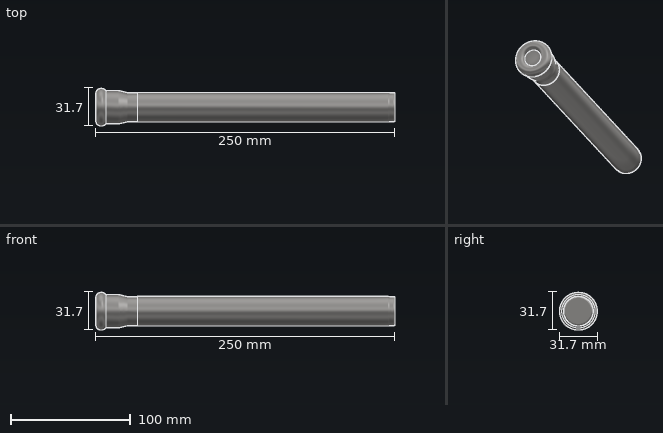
import cadquery as cq

socket_start = 2.5
socket_end = 19.1
taper_start = 20.6
neck_start = 26.7
barrel_start = 35.1
barrel_end = 244.2
spigot_start = 245.5
total_length = 250.0

socket_diameter = 28.0
shoulder_diameter = 27.4
neck_diameter = 24.5
barrel_diameter = 25.0
spigot_diameter = neck_diameter

tip_radius = 1.4

ring_outer_diameter = 31.72
ring_section_radius = 4.7
ring_center_radius = ring_outer_diameter / 2 - ring_section_radius
ring_center_x = ring_section_radius


def make_ring():
    """Round-section ring lying around the X axis."""
    section = cq.Workplane("XY").center(ring_center_x, ring_center_radius).circle(ring_section_radius)
    return section.revolve(360, (0, -ring_center_radius, 0), (1, -ring_center_radius, 0))


def make_tube(ring):
    """Stepped solid body whose socket end is seated in the ring."""
    outline = [
        (socket_start, 0),
        (socket_start, socket_diameter / 2),
        (socket_end, socket_diameter / 2),
        (taper_start, shoulder_diameter / 2),
        (neck_start, neck_diameter / 2),
        (barrel_start, neck_diameter / 2),
        (barrel_start, barrel_diameter / 2),
        (barrel_end, barrel_diameter / 2),
        (spigot_start, spigot_diameter / 2),
        (total_length, spigot_diameter / 2),
        (total_length, 0),
    ]
    tube = cq.Workplane("XY").polyline(outline).close().revolve(360, (0, 0, 0), (1, 0, 0))
    tube = tube.faces(">X").edges().fillet(tip_radius)
    return tube.cut(ring)


ring = make_ring()
tube = make_tube(ring)
result = cq.Compound.makeCompound([ring.val(), *tube.solids().vals()])